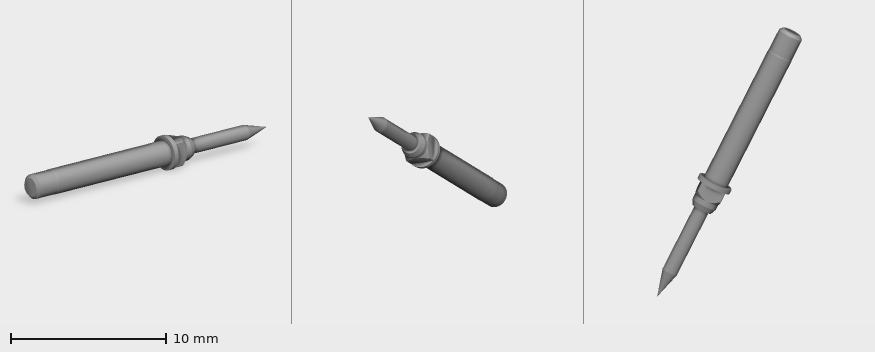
import cadquery as cq

total_length = 19.5
tip_y = total_length / 2

pin_radius = 0.5
collar_front_radius = 0.68
body_radius = 0.84
flange_radius = 1.15
tail_radius = 0.82

cone_length = 1.83
collar_start = 6.47
collar_chamfer_end = 6.85
square_start = 7.2
flange_start = 8.17
flange_thickness = 0.31
body_end = 17.78

body_end_taper = 0.05
tail_chamfer = 0.2

square_side = 2 * body_radius
square_lead_in = 0.35


def turned(profile):
    """Revolve (radius, distance from tip) corners about the Y axis."""
    points = [(radius, tip_y - distance) for radius, distance in profile]
    return cq.Workplane("XY").polyline(points).close().revolve(360, (0, 0), (0, 1))


def make_front():
    """Conical tip, slim pin and chamfered collar."""
    return turned([
        (0, 0),
        (pin_radius, cone_length),
        (pin_radius, collar_start),
        (collar_front_radius, collar_start),
        (body_radius, collar_chamfer_end),
        (body_radius, flange_start),
        (0, flange_start),
    ])


def make_square():
    """Square section with its corners turned to the flange radius and coned in front."""
    square = (
        cq.Workplane("XZ", origin=(0, tip_y - flange_start, 0))
        .rect(square_side, square_side)
        .extrude(-(flange_start - square_start))
    )
    envelope = turned([
        (0, square_start),
        (body_radius, square_start),
        (flange_radius, square_start + square_lead_in),
        (flange_radius, flange_start),
        (0, flange_start),
    ])
    return square.intersect(envelope)


def make_rear():
    """Flange, long cylindrical body and reduced tail with a chamfered end."""
    flange_end = flange_start + flange_thickness
    return turned([
        (0, flange_start),
        (flange_radius, flange_start),
        (flange_radius, flange_end),
        (body_radius, flange_end),
        (body_radius, body_end),
        (tail_radius, body_end + body_end_taper),
        (tail_radius, total_length - tail_chamfer),
        (tail_radius - tail_chamfer, total_length),
        (0, total_length),
    ])


result = make_rear().union(make_front()).union(make_square())